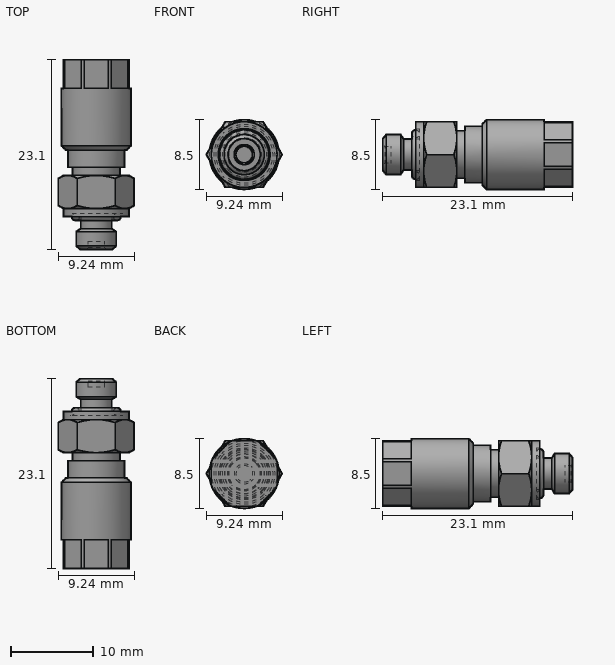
import cadquery as cq
import math

length = 23.1
y_front = -length / 2
y_back = length / 2

sleeve_dia = 8.5
sleeve_rim_dia = 7.4
collar_dia = 6.9
shank_dia = 5.8
flat_width = 8.0
neck_dia = 3.8
thread_dia = 4.9
thread_tip_dia = 3.9
bore_mouth_dia = 2.45
bore_floor_dia = 2.0

octagon_length = 3.49
sleeve_length = 6.98
sleeve_chamfer_length = 0.55
collar_length = 2.1
shank_length = 0.97
nut_length = 4.02
flange_length = 1.0
thread_length = 2.55
thread_back_chamfer = 0.35
thread_tip_chamfer = 0.45
bore_depth = 1.0
bore_chamfer_length = 0.25

groove_outer_dia = 6.3
groove_inner_dia = neck_dia
groove_depth = 0.45
ring_section_dia = 0.92
ring_center_dia = 5.08

nut_chamfer_angle = 30.0

y_sleeve_back = y_back - octagon_length
y_sleeve_front = y_sleeve_back - sleeve_length
y_collar_back = y_sleeve_front - sleeve_chamfer_length
y_shank_back = y_collar_back - collar_length
y_nut_back = y_shank_back - shank_length
y_nut_front = y_nut_back - nut_length
y_flange_front = y_nut_front - flange_length
y_thread_back = y_front + thread_length


def revolve_profile(points):
    """Revolve a closed (radius, y) outline around the Y axis."""
    return cq.Workplane("XY").polyline(points).close().revolve(360, (0, 0, 0), (0, 1, 0))


def prism(sides, across_flats, y_start, height, turn):
    """Regular prism along +Y; turn is the angle of its first corner from X."""
    corner_dia = across_flats / math.cos(math.pi / sides)
    shape = cq.Workplane("XZ").polygon(sides, corner_dia).extrude(-height)
    return shape.rotate((0, 0, 0), (0, 1, 0), turn).translate((0, y_start, 0))


def turned_body():
    return revolve_profile([
        (0, y_front),
        (thread_tip_dia / 2, y_front),
        (thread_dia / 2, y_front + thread_tip_chamfer),
        (thread_dia / 2, y_thread_back - thread_back_chamfer),
        (neck_dia / 2, y_thread_back),
        (neck_dia / 2, y_flange_front),
        (flat_width / 2, y_flange_front),
        (flat_width / 2, y_nut_front),
        (shank_dia / 2, y_nut_front),
        (shank_dia / 2, y_shank_back),
        (collar_dia / 2, y_shank_back),
        (collar_dia / 2, y_collar_back),
        (sleeve_rim_dia / 2, y_collar_back),
        (sleeve_dia / 2, y_sleeve_front),
        (sleeve_dia / 2, y_sleeve_back),
        (0, y_sleeve_back),
    ])


def octagon_end():
    """Octagon whose corners are rounded off to the sleeve diameter."""
    octagon = prism(8, flat_width, y_sleeve_back, octagon_length, 180 / 8)
    round_bar = (
        cq.Workplane("XZ", origin=(0, y_sleeve_back, 0))
        .circle(sleeve_dia / 2)
        .extrude(-octagon_length)
    )
    return octagon.intersect(round_bar)


def hex_nut():
    """Hexagon with corners on the X axis and conical chamfers on both ends."""
    corner_radius = flat_width / math.sqrt(3)
    chamfer_radial = corner_radius - flat_width / 2
    chamfer_axial = chamfer_radial * math.tan(math.radians(nut_chamfer_angle))
    envelope = revolve_profile([
        (0, y_nut_front),
        (flat_width / 2, y_nut_front),
        (corner_radius, y_nut_front + chamfer_axial),
        (corner_radius, y_nut_back - chamfer_axial),
        (flat_width / 2, y_nut_back),
        (0, y_nut_back),
    ])
    return prism(6, flat_width, y_nut_front, nut_length, 0).intersect(envelope)


def seal_groove():
    return (
        cq.Workplane("XZ", origin=(0, y_flange_front, 0))
        .circle(groove_outer_dia / 2)
        .circle(groove_inner_dia / 2)
        .extrude(-groove_depth)
    )


def seal_ring():
    return (
        cq.Workplane("XY")
        .center(ring_center_dia / 2, y_flange_front)
        .circle(ring_section_dia / 2)
        .revolve(360, (-ring_center_dia / 2, 0, 0), (-ring_center_dia / 2, 1, 0))
    )


def bore():
    """Blind round recess with a chamfered mouth in the threaded end."""
    return revolve_profile([
        (0, y_front),
        (bore_mouth_dia / 2, y_front),
        (bore_floor_dia / 2, y_front + bore_chamfer_length),
        (bore_floor_dia / 2, y_front + bore_depth),
        (0, y_front + bore_depth),
    ])


result = turned_body().union(octagon_end()).union(hex_nut())
result = result.cut(seal_groove()).union(seal_ring()).cut(bore())